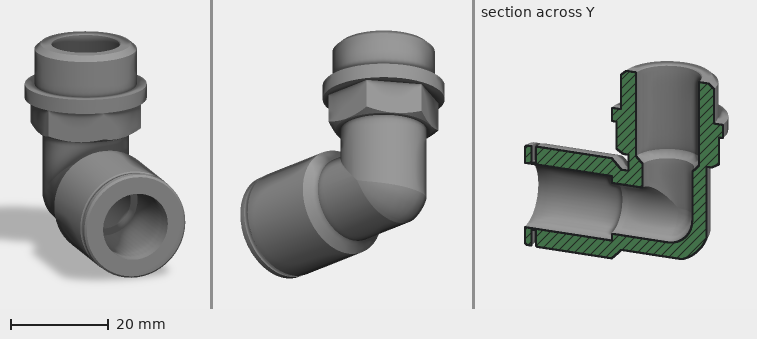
import cadquery as cq


pipe_radius = 8.8
corner_offset = 0.6
flow_radius = 5.495

flange_radius = 12.5
stud_radius = 10.48
stud_tip_radius = 9.25
stud_tip_height = 1.05
hex_flats = 20.0
hex_end_radius = 9.9
hex_bottom = 12.2
hex_top = 19.0
flange_top = 22.0
stud_top = 30.53
stud_bore_radius = 7.0
stud_bore_bottom = hex_bottom
stud_mouth_chamfer = 0.2

sleeve_radius = 11.0
sleeve_cone_start = 10.32
sleeve_start = sleeve_cone_start + sleeve_radius - pipe_radius
sleeve_end = 29.5
sleeve_chamfer = 0.25
neck_radius = 7.41
ring_radius = 10.9
ring_start = 30.45
ring_end = 44.5 - flange_radius
ring_chamfer = 0.4
tube_bore_radius = 7.0
tube_bore_bottom = sleeve_start


def turned_z(radius, bottom, top):
    return cq.Workplane("XY").workplane(offset=bottom).circle(radius).extrude(top - bottom)


def turned_x(radius, start, end):
    return cq.Workplane("YZ").workplane(offset=start).circle(radius).extrude(end - start)


def cone_z(bottom_radius, top_radius, bottom, top):
    outline = [(0, bottom), (bottom_radius, bottom), (top_radius, top), (0, top)]
    return cq.Workplane("XZ").polyline(outline).close().revolve(360, (0, 0, 0), (0, 1, 0))


def rounded_corner():
    """Mitred outer corner of the elbow, rounded by an arc section turned about the Y axis."""
    mitre = turned_z(pipe_radius, -pipe_radius, 0).intersect(turned_x(pipe_radius, -pipe_radius, 0))
    rounding = (
        cq.Workplane("XY")
        .moveTo(0, -pipe_radius)
        .lineTo(corner_offset, -pipe_radius)
        .threePointArc((corner_offset + pipe_radius, 0), (corner_offset, pipe_radius))
        .lineTo(0, pipe_radius)
        .close()
        .revolve(360, (0, 0, 0), (0, 1, 0))
    )
    return mitre.intersect(rounding)


def elbow():
    upright = turned_z(pipe_radius, 0, hex_bottom)
    branch = turned_x(pipe_radius, 0, sleeve_start)
    return upright.union(branch).union(rounded_corner())


def hexagon():
    """Spanner hexagon with flats facing +Y and -Y and its lower corners chamfered at 30 degrees."""
    height = hex_top - hex_bottom
    hex_corners = hex_flats * 2 / 3 ** 0.5
    prism = (
        cq.Workplane("XY")
        .workplane(offset=hex_bottom)
        .polygon(6, hex_corners)
        .extrude(height)
    )
    envelope_growth = height * 3 ** 0.5
    envelope = cone_z(hex_end_radius, hex_end_radius + envelope_growth, hex_bottom, hex_top)
    return prism.intersect(envelope)


def threaded_end():
    flange = turned_z(flange_radius, hex_top, flange_top)
    tip_bottom = stud_top - stud_tip_height
    stud = turned_z(stud_radius, flange_top, tip_bottom)
    tip = cone_z(stud_radius, stud_tip_radius, tip_bottom, stud_top)
    return hexagon().union(flange).union(stud).union(tip)


def tube_end():
    """Coned sleeve, neck and release ring turned about the X axis."""
    outline = [
        (sleeve_cone_start, 0),
        (sleeve_cone_start, pipe_radius),
        (sleeve_start, sleeve_radius),
        (sleeve_end - sleeve_chamfer, sleeve_radius),
        (sleeve_end, sleeve_radius - sleeve_chamfer),
        (sleeve_end, neck_radius),
        (ring_start, neck_radius),
        (ring_start, ring_radius),
        (ring_end - ring_chamfer, ring_radius),
        (ring_end, ring_radius - ring_chamfer),
        (ring_end, 0),
    ]
    return cq.Workplane("XZ").polyline(outline).close().revolve(360, (0, 0, 0), (1, 0, 0))


def passage():
    """Bent flow channel with a spherical turn, opening into the stud bore and the tube bore."""
    cone_bottom = stud_bore_bottom - (stud_bore_radius - flow_radius)
    mouth_bottom = stud_top - stud_mouth_chamfer
    mouth_radius = stud_bore_radius + stud_mouth_chamfer
    return (
        cq.Workplane("XY")
        .sphere(flow_radius)
        .union(turned_z(flow_radius, 0, stud_bore_bottom))
        .union(turned_x(flow_radius, 0, tube_bore_bottom))
        .union(cone_z(flow_radius, stud_bore_radius, cone_bottom, stud_bore_bottom))
        .union(turned_z(stud_bore_radius, stud_bore_bottom, stud_top))
        .union(cone_z(stud_bore_radius, mouth_radius, mouth_bottom, stud_top))
        .union(turned_x(tube_bore_radius, tube_bore_bottom, ring_end))
    )


result = elbow().union(threaded_end()).union(tube_end()).cut(passage())